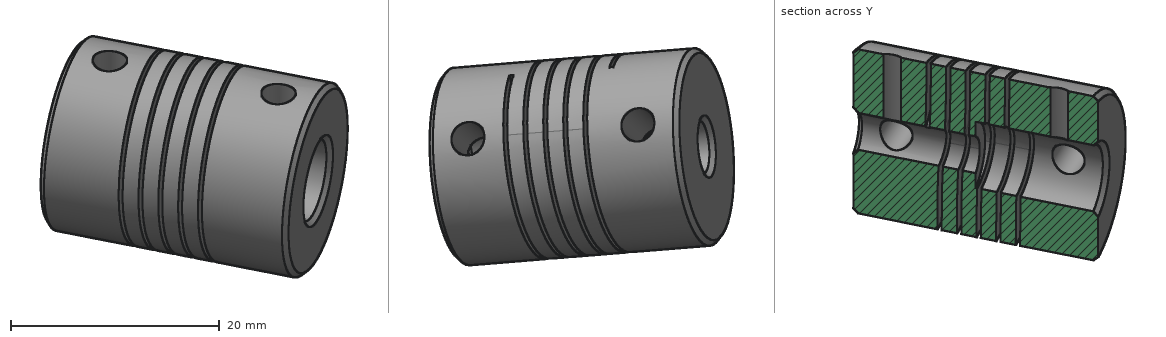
import cadquery as cq


body_length = 25.0
body_diameter = 19.0
small_bore_diameter = 5.0
large_bore_diameter = 8.0
edge_chamfer = 0.5

screw_hole_diameter = 3.3
screw_hole_offset = 8.5

slot_width = 0.4
slot_pitch = 2.0
slot_turns = 5
slot_start_angle = 45.0
slot_clearance = 0.5

half_length = body_length / 2
body_radius = body_diameter / 2
small_bore_radius = small_bore_diameter / 2
large_bore_radius = large_bore_diameter / 2
slot_length = slot_pitch * slot_turns


def make_body():
    """Solid cylinder with chamfered outer rims."""
    return (
        cq.Workplane("YZ")
        .circle(body_radius)
        .extrude(half_length, both=True)
        .edges()
        .chamfer(edge_chamfer)
    )


def make_bore(bore_radius):
    """Half-bore along +X from mid-length, flared at 45 degrees at its mouth."""
    flare_start = half_length - edge_chamfer
    return (
        cq.Workplane("XY")
        .lineTo(0, bore_radius)
        .lineTo(flare_start, bore_radius)
        .lineTo(half_length, bore_radius + edge_chamfer)
        .lineTo(half_length, 0)
        .close()
        .revolve(360, (0, 0, 0), (1, 0, 0))
    )


def make_screw_hole(x_position, direction):
    """Radial hole cutter running from the axis out through the wall."""
    return cq.Workplane(
        cq.Solid.makeCylinder(
            screw_hole_diameter / 2, body_radius, cq.Vector(x_position, 0, 0), cq.Vector(*direction)
        )
    )


def make_slot_half_turn():
    """Right-handed helical cutter of rectangular section: the first half turn of the slot."""
    inner_radius = small_bore_radius - slot_clearance
    outer_radius = body_radius + slot_clearance
    path = cq.Wire.makeHelix(slot_pitch, slot_pitch / 2, inner_radius)
    cutter = (
        cq.Workplane("XZ")
        .center((inner_radius + outer_radius) / 2, 0)
        .rect(outer_radius - inner_radius, slot_width)
        .sweep(cq.Workplane(path), isFrenet=True)
    )
    return (
        cutter.rotate((0, 0, 0), (0, 1, 0), 90)
        .rotate((0, 0, 0), (1, 0, 0), 90 + slot_start_angle)
        .translate((-slot_length / 2, 0, 0))
    )


def cut_slot(part):
    """Cut the slot through the wall, half a turn at a time to keep each cut simple."""
    half_turn = make_slot_half_turn()
    for index in range(2 * slot_turns):
        step = half_turn.rotate((0, 0, 0), (1, 0, 0), 180 * index)
        part = part.cut(step.translate((index * slot_pitch / 2, 0, 0)))
    return part


result = make_body()
result = result.cut(make_bore(small_bore_radius).mirror("YZ"))
result = result.cut(make_bore(large_bore_radius))

for hub_x in (-screw_hole_offset, screw_hole_offset):
    for screw_direction in ((0, 1, 0), (0, 0, 1)):
        result = result.cut(make_screw_hole(hub_x, screw_direction))

result = cut_slot(result).solids()